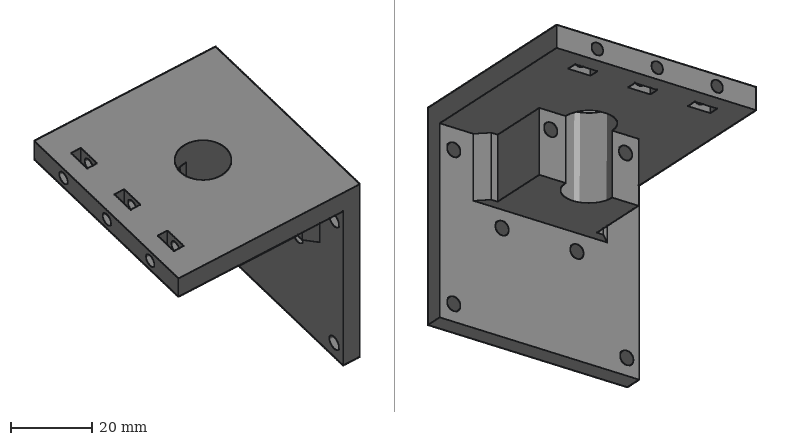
import cadquery as cq

width = 60.0
depth = 55.7
height = 60.0
wall_thickness = 5.15
shelf_thickness = 6.4
center_x = 30.25

wall_front_y = depth - wall_thickness
shelf_bottom_z = height - shelf_thickness

block_width = 29.8
block_reach = 21.0
block_height = 18.5
foot_base_width = 40.2
foot_top_width = 33.7
foot_reach = 3.0
bore_diameter = 14.0
block_front_y = wall_front_y - block_reach
block_bottom_z = shelf_bottom_z - block_height

screw_diameter = 4.0
corner_spacing_x = 52.0
corner_spacing_z = 42.55
corner_center_z = 26.2
block_screw_spacing_x = 22.5
block_screw_spacing_z = 18.55
block_screw_center_x = width / 2
block_screw_center_z = 39.3

edge_hole_diameter = 3.5
edge_hole_depth = 10.0
edge_spacing = 18.0
nut_slot_width = 6.7
nut_slot_thickness = 3.0
nut_slot_y = 6.3


def make_bracket():
    profile = [
        (depth, 0),
        (depth, height),
        (0, height),
        (0, shelf_bottom_z),
        (wall_front_y, shelf_bottom_z),
        (wall_front_y, 0),
    ]
    return cq.Workplane("YZ").polyline(profile).close().extrude(width)


def make_block():
    foot_front_y = wall_front_y - foot_reach
    right_side = [
        (block_width / 2, block_front_y),
        (block_width / 2, foot_front_y),
        (foot_top_width / 2, foot_front_y),
        (foot_base_width / 2, wall_front_y),
    ]
    left_side = [(-x, y) for x, y in reversed(right_side)]
    outline = [(center_x + x, y) for x, y in right_side + left_side]
    plane = cq.Workplane("XY").workplane(offset=block_bottom_z)
    return plane.polyline(outline).close().extrude(block_height)


def make_bore():
    return cq.Workplane("XY").center(center_x, block_front_y).circle(bore_diameter / 2).extrude(height)


def make_wall_screws(spacing_x, spacing_z, middle_x, middle_z):
    plane = cq.Workplane("XZ").center(middle_x, middle_z).rarray(spacing_x, spacing_z, 2, 2)
    return plane.circle(screw_diameter / 2).extrude(-depth)


def make_edge_fastener(x):
    hole_z = height - shelf_thickness / 2
    hole = cq.Workplane("XZ").center(x, hole_z).circle(edge_hole_diameter / 2).extrude(-edge_hole_depth)
    slot = cq.Workplane("XY").center(x, nut_slot_y).rect(nut_slot_width, nut_slot_thickness).extrude(height)
    return hole.union(slot)


corner_screws = make_wall_screws(corner_spacing_x, corner_spacing_z, center_x, corner_center_z)
block_screws = make_wall_screws(
    block_screw_spacing_x, block_screw_spacing_z, block_screw_center_x, block_screw_center_z
)

result = make_bracket().union(make_block()).cut(make_bore())
result = result.cut(corner_screws).cut(block_screws)
for offset in (-edge_spacing, 0, edge_spacing):
    result = result.cut(make_edge_fastener(center_x + offset))